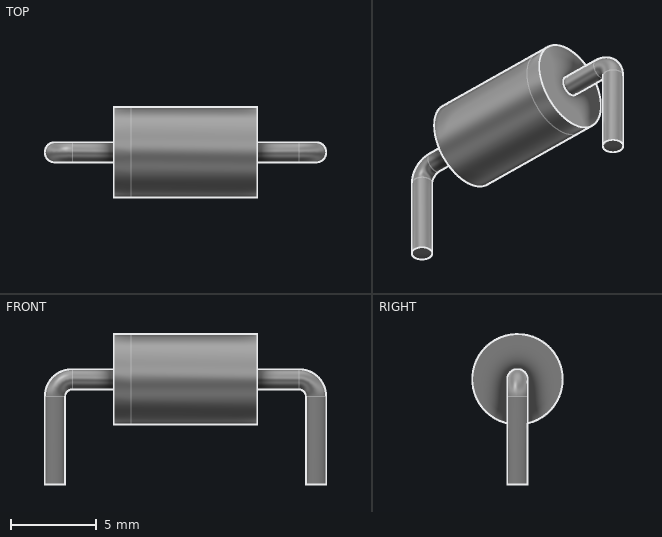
import cadquery as cq

overall_length = 16.44
overall_height = 8.8

body_diameter = 5.3
body_length = 8.4
band_width = 1.0

lead_diameter = 1.2
bend_radius = 1.0

lead_pitch = overall_length - lead_diameter
lead_drop = overall_height - body_diameter / 2


def cylinder_along_x(start_x, length, diameter):
    return cq.Workplane("YZ", origin=(start_x, 0, 0)).circle(diameter / 2).extrude(length)


def make_body():
    """Plain cylinder whose -X end is marked off by a flush polarity band."""
    body_start = -body_length / 2
    band = cylinder_along_x(body_start, band_width, body_diameter)
    main = cylinder_along_x(body_start + band_width, body_length - band_width, body_diameter)
    return band.union(main, clean=False)


def make_leads():
    """One wire running through the body and bent down at both ends."""
    tip_x = lead_pitch / 2
    bend_x = tip_x - bend_radius
    path = (
        cq.Workplane("XZ")
        .moveTo(-tip_x, -lead_drop)
        .lineTo(-tip_x, -bend_radius)
        .radiusArc((-bend_x, 0), bend_radius)
        .lineTo(bend_x, 0)
        .radiusArc((tip_x, -bend_radius), bend_radius)
        .lineTo(tip_x, -lead_drop)
    )
    tip = cq.Workplane("XY", origin=(-tip_x, 0, -lead_drop))
    return tip.circle(lead_diameter / 2).sweep(path)


result = make_body().union(make_leads(), clean=False)